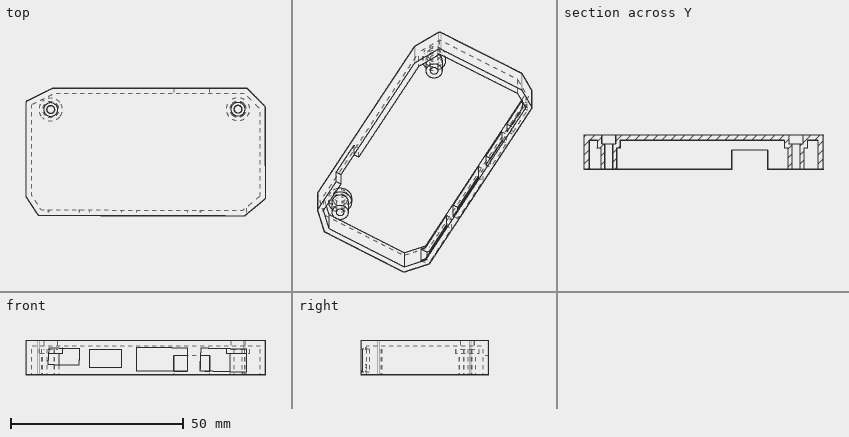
import cadquery as cq

LENGTH = 69.45
WIDTH = 37.06
HEIGHT = 10.0

WALL = 1.6
ROOF = WALL

FRONT_LEFT_CUT = (3.6, 5.65)
FRONT_RIGHT_CUT = (6.1, 5.05)
BACK_RIGHT_CUT = (5.4, 5.35)
BACK_LEFT_CUT = (7.8, 3.85)
CORNER_RADIUS = 0.7

FRONT_SKEW = 0.12
RIGHT_SKEW = 0.1

BOSS_CENTERS = [(7.2, 30.85), (61.45, 30.95)]
HOLE_DIAMETER = 2.2
COUNTERBORE_DIAMETER = 4.0
COUNTERBORE_DEPTH = 2.6
BOSS_WALL = 1.25
HEAD_DIAMETER = 6.7
POST_DIAMETER = HOLE_DIAMETER + 2 * BOSS_WALL
HEAD_BOTTOM = HEIGHT - COUNTERBORE_DEPTH - BOSS_WALL

FRONT_WINDOWS = [
    [(6.4, 2.95), (15.4, 2.8), (15.6, 7.6), (6.7, 7.75)],
    [(18.5, 2.15), (27.75, 2.15), (27.75, 7.4), (18.5, 7.4)],
    [(32.1, 1.1), (46.75, 1.1), (46.75, 7.8), (32.1, 7.95)],
    [(50.5, 1.15), (63.9, 0.75), (63.9, 7.45), (50.7, 7.75)],
]
WINDOW_CUT_DEPTH = 5.0

NOTCH_LEFT = 42.9
NOTCH_RIGHT = 53.2
NOTCH_HEIGHT = 5.6


def plan_outline():
    """Octagonal outline of the case, seen from above."""
    return [
        (FRONT_LEFT_CUT[0], FRONT_SKEW),
        (LENGTH - FRONT_RIGHT_CUT[0], 0),
        (LENGTH, FRONT_RIGHT_CUT[1]),
        (LENGTH - RIGHT_SKEW, WIDTH - BACK_RIGHT_CUT[1]),
        (LENGTH - BACK_RIGHT_CUT[0], WIDTH),
        (BACK_LEFT_CUT[0], WIDTH),
        (0, WIDTH - BACK_LEFT_CUT[1]),
        (0, FRONT_LEFT_CUT[1]),
    ]


def make_shell():
    """Roof with walls all around, an open bottom and rounded outer corners."""
    block = cq.Workplane("XY").polyline(plan_outline()).close().extrude(HEIGHT)
    block = block.edges("|Z").fillet(CORNER_RADIUS)
    cavity = (
        cq.Workplane("XY").polyline(plan_outline()).close().offset2D(-WALL).extrude(HEIGHT - ROOF)
    )
    return block.cut(cavity)


def make_cylinder(center, diameter, bottom, top):
    """Vertical cylinder between two heights."""
    plane = cq.Workplane("XY", origin=(center[0], center[1], bottom))
    return plane.circle(diameter / 2).extrude(top - bottom)


def add_boss(body, center):
    """Stepped boss with a counterbored through hole."""
    body = body.union(make_cylinder(center, POST_DIAMETER, 0, HEIGHT))
    body = body.union(make_cylinder(center, HEAD_DIAMETER, HEAD_BOTTOM, HEIGHT))
    body = body.cut(make_cylinder(center, HOLE_DIAMETER, 0, HEIGHT))
    return body.cut(make_cylinder(center, COUNTERBORE_DIAMETER, HEIGHT - COUNTERBORE_DEPTH, HEIGHT))


def make_window(corners):
    """Cutter for one front window."""
    return cq.Workplane("XZ").polyline(corners).close().extrude(-WINDOW_CUT_DEPTH)


def make_notch():
    """Cutter for the notch in the back wall."""
    plane = cq.Workplane("XY", origin=(NOTCH_LEFT, WIDTH - WALL, 0))
    return plane.box(NOTCH_RIGHT - NOTCH_LEFT, WALL, NOTCH_HEIGHT, centered=False)


result = make_shell()
for boss_center in BOSS_CENTERS:
    result = add_boss(result, boss_center)
for window_corners in FRONT_WINDOWS:
    result = result.cut(make_window(window_corners))
result = result.cut(make_notch())